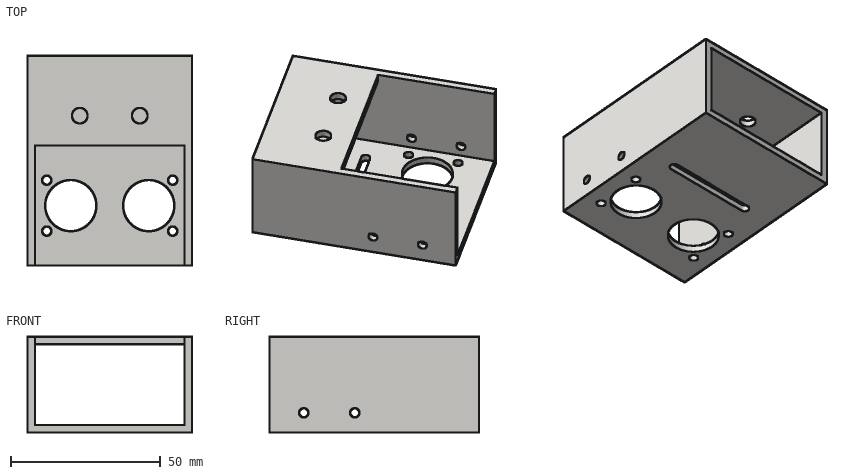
import cadquery as cq

width = 55.0
length = 70.0
height = 32.0
wall = 2.6

roof_opening_length = 40.0
roof_hole_diameter = 5.2
roof_hole_spacing = 20.0
roof_hole_y = 50.0

opening_diameter = 17.0
opening_spacing = 26.0
opening_y = 20.0
screw_diameter = 3.0
screw_spacing_x = 42.0
screw_spacing_y = 17.0

side_hole_z = 6.6

slot_width = 3.0
slot_length = 35.0
slot_y = 42.0

screw_rows = [opening_y - screw_spacing_y / 2, opening_y + screw_spacing_y / 2]


def mirrored(spacing):
    """X positions of a pair placed symmetrically about the centre plane."""
    return [-spacing / 2, spacing / 2]


def box_from_front(size_x, size_y, size_z, base_z):
    """Box centred in X, starting at the front face and at height base_z."""
    box = cq.Workplane("XY").box(size_x, size_y, size_z, centered=(True, False, False))
    return box.translate((0, 0, base_z))


def vertical_holes(points, diameter, base_z):
    """Cutters for round holes through one wall thickness above base_z."""
    plane = cq.Workplane("XY").workplane(offset=base_z)
    return plane.pushPoints(points).circle(diameter / 2).extrude(wall)


def make_shell():
    """Rectangular tube open at both ends, with the front of the roof removed."""
    inner_width = width - 2 * wall
    outer = box_from_front(width, length, height, 0)
    cavity = box_from_front(inner_width, length, height - 2 * wall, wall)
    roof_opening = box_from_front(inner_width, roof_opening_length, wall, height - wall)
    return outer.cut(cavity).cut(roof_opening)


def floor_cutters():
    """Large openings, their screw holes and the slot."""
    openings = [(x, opening_y) for x in mirrored(opening_spacing)]
    screws = [(x, y) for x in mirrored(screw_spacing_x) for y in screw_rows]
    slot = cq.Workplane("XY").center(0, slot_y).slot2D(slot_length, slot_width).extrude(wall)
    return [
        vertical_holes(openings, opening_diameter, 0),
        vertical_holes(screws, screw_diameter, 0),
        slot,
    ]


def roof_cutter():
    """Two holes through the roof only."""
    points = [(x, roof_hole_y) for x in mirrored(roof_hole_spacing)]
    return vertical_holes(points, roof_hole_diameter, height - wall)


def side_cutter():
    """Screw holes running through both side walls."""
    points = [(y, side_hole_z) for y in screw_rows]
    plane = cq.Workplane("YZ").pushPoints(points)
    return plane.circle(screw_diameter / 2).extrude(width / 2, both=True)


result = make_shell()
for cutter in [*floor_cutters(), roof_cutter(), side_cutter()]:
    result = result.cut(cutter)